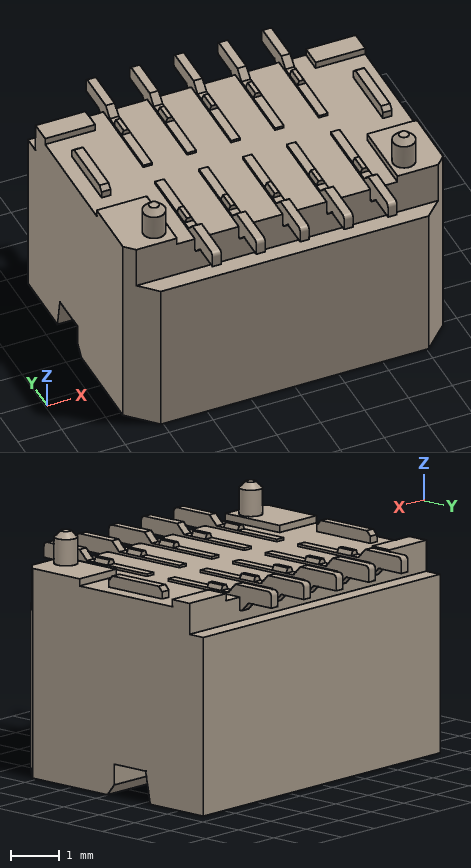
import cadquery as cq

BODY_WIDTH = 7.3
BODY_DEPTH = 5.4
BODY_HEIGHT = 4.5
FRONT_CHAMFER = 0.6
LEDGE_DEPTH = 0.39
FRONT_LEDGE_Z = 3.54
BACK_LEDGE_Z = 3.83

RECESS_DEPTH = 0.15
PAD_WIDTH = 1.14
FRONT_PAD_EDGE = 1.92
BACK_PAD_EDGE = 0.875
EMBED_DEPTH = 0.145

NOTCH_HEIGHT = 0.69
NOTCH_BACK_BOTTOM = 1.5
NOTCH_BACK_TOP = 1.62
NOTCH_FRONT_TOP = 2.505
NOTCH_FRONT_BOTTOM = 2.7
NOTCH_BEVEL_HEIGHT = 0.25

CONTACT_SPAN = 6.4
CONTACT_COUNT = 5
CONTACT_PITCH = 1.0
CONTACT_WIDTH = 0.205
CONTACT_LENGTH = 2.905
CONTACT_ROUND = 0.095
FOOT_TOP_Z = 4.6
FOOT_THICKNESS = 0.34
FOOT_TOP_LENGTH = 1.01
FOOT_BOTTOM_LENGTH = 0.635
SHANK_DROP = 0.2
SHANK_DEPTH = 1.46
STRIP_RISE = 0.05

BUMP_START = 1.41
BUMP_LENGTH = 0.395
BUMP_TOP_WIDTH = 0.1

TAB_WIDTH = 0.205
TAB_LENGTH = 1.505
TAB_CENTER_X = 3.205
TAB_CENTER_Y = 0.48
TAB_CHAMFER = 0.1

PEG_DIAMETER = 0.5
PEG_TIP_Z = 5.2
PEG_TIP_CHAMFER = 0.14
PEG_INSET = 0.8

HALF_WIDTH = BODY_WIDTH / 2
FRONT_Y = -BODY_DEPTH / 2
BACK_Y = BODY_DEPTH / 2
FLOOR_Z = BODY_HEIGHT - RECESS_DEPTH
STRIP_Z = FLOOR_Z + STRIP_RISE
TIP_Y = CONTACT_SPAN / 2


def box(x_min, x_max, y_min, y_max, z_min, z_max):
    """Axis-aligned box between two corners."""
    return (
        cq.Workplane("XY", origin=(x_min, y_min, z_min))
        .box(x_max - x_min, y_max - y_min, z_max - z_min, centered=False)
    )


def make_profile_block():
    """Stepped, notched side profile extruded over the full width."""
    profile = [
        (FRONT_Y, 0),
        (FRONT_Y, FRONT_LEDGE_Z),
        (FRONT_Y + LEDGE_DEPTH, FRONT_LEDGE_Z),
        (FRONT_Y + LEDGE_DEPTH, BODY_HEIGHT),
        (BACK_Y - LEDGE_DEPTH, BODY_HEIGHT),
        (BACK_Y - LEDGE_DEPTH, BACK_LEDGE_Z),
        (BACK_Y, BACK_LEDGE_Z),
        (BACK_Y, 0),
        (BACK_Y - NOTCH_BACK_BOTTOM, 0),
        (BACK_Y - NOTCH_BACK_TOP, NOTCH_HEIGHT),
        (BACK_Y - NOTCH_FRONT_TOP, NOTCH_HEIGHT),
        (BACK_Y - NOTCH_FRONT_TOP, NOTCH_BEVEL_HEIGHT),
        (BACK_Y - NOTCH_FRONT_BOTTOM, 0),
    ]
    return cq.Workplane("YZ").polyline(profile).close().extrude(HALF_WIDTH, both=True)


def make_plan_block():
    """Plan outline with the two chamfered front corners."""
    return (
        cq.Workplane("XY")
        .rect(BODY_WIDTH, BODY_DEPTH)
        .extrude(BODY_HEIGHT)
        .edges("|Z and <Y")
        .chamfer(FRONT_CHAMFER)
    )


def make_top_recess():
    """Cross-shaped cutter that leaves the four corner pads standing."""
    pad_inner_x = HALF_WIDTH - PAD_WIDTH
    between_side_pads = box(
        -HALF_WIDTH, HALF_WIDTH,
        FRONT_Y + FRONT_PAD_EDGE, BACK_Y - BACK_PAD_EDGE,
        FLOOR_Z, BODY_HEIGHT,
    )
    front_to_back = box(-pad_inner_x, pad_inner_x, FRONT_Y, BACK_Y, FLOOR_Z, BODY_HEIGHT)
    return between_side_pads.union(front_to_back)


def make_contact():
    """Contact of the +Y row, centred on X = 0."""
    foot_bottom_z = FOOT_TOP_Z - FOOT_THICKNESS
    shank_bottom_z = foot_bottom_z - SHANK_DROP
    strip_start_y = TIP_Y - FOOT_TOP_LENGTH - (FOOT_TOP_Z - STRIP_Z)
    profile = [
        (TIP_Y, foot_bottom_z),
        (TIP_Y, FOOT_TOP_Z),
        (TIP_Y - FOOT_TOP_LENGTH, FOOT_TOP_Z),
        (strip_start_y, STRIP_Z),
        (TIP_Y - CONTACT_LENGTH, STRIP_Z),
        (TIP_Y - CONTACT_LENGTH, FLOOR_Z - EMBED_DEPTH),
        (TIP_Y - SHANK_DEPTH, FLOOR_Z - EMBED_DEPTH),
        (TIP_Y - SHANK_DEPTH, shank_bottom_z),
        (TIP_Y - FOOT_BOTTOM_LENGTH - SHANK_DROP, shank_bottom_z),
        (TIP_Y - FOOT_BOTTOM_LENGTH, foot_bottom_z),
    ]
    blade = (
        cq.Workplane("YZ")
        .polyline(profile)
        .close()
        .extrude(CONTACT_WIDTH / 2, both=True)
    )
    blade = blade.faces(">Y").edges(">Z").fillet(CONTACT_ROUND)

    bump_section = [
        (-CONTACT_WIDTH / 2, STRIP_Z),
        (-BUMP_TOP_WIDTH / 2, BODY_HEIGHT),
        (BUMP_TOP_WIDTH / 2, BODY_HEIGHT),
        (CONTACT_WIDTH / 2, STRIP_Z),
    ]
    bump = (
        cq.Workplane("XZ", origin=(0, TIP_Y - BUMP_START, 0))
        .polyline(bump_section)
        .close()
        .extrude(BUMP_LENGTH)
    )
    return blade.union(bump)


def make_tab(center_x):
    """Upright tab with chamfered upper ends."""
    return (
        box(
            center_x - TAB_WIDTH / 2, center_x + TAB_WIDTH / 2,
            TAB_CENTER_Y - TAB_LENGTH / 2, TAB_CENTER_Y + TAB_LENGTH / 2,
            FLOOR_Z - EMBED_DEPTH, FOOT_TOP_Z,
        )
        .faces(">Z")
        .edges("|X")
        .chamfer(TAB_CHAMFER)
    )


def make_peg(center_x):
    """Locating peg with a chamfered tip, standing on a front corner pad."""
    return (
        cq.Workplane("XY", origin=(center_x, FRONT_Y + PEG_INSET, FLOOR_Z - EMBED_DEPTH))
        .circle(PEG_DIAMETER / 2)
        .extrude(PEG_TIP_Z - FLOOR_Z + EMBED_DEPTH)
        .faces(">Z")
        .chamfer(PEG_TIP_CHAMFER)
    )


result = make_profile_block().intersect(make_plan_block()).cut(make_top_recess())

back_contact = make_contact()
front_contact = back_contact.mirror("XZ")
for index in range(CONTACT_COUNT):
    contact_x = (index - (CONTACT_COUNT - 1) / 2) * CONTACT_PITCH
    result = result.union(back_contact.translate((contact_x, 0, 0)))
    result = result.union(front_contact.translate((contact_x, 0, 0)))

for side in (-1, 1):
    result = result.union(make_tab(side * TAB_CENTER_X))
    result = result.union(make_peg(side * (HALF_WIDTH - PEG_INSET)))